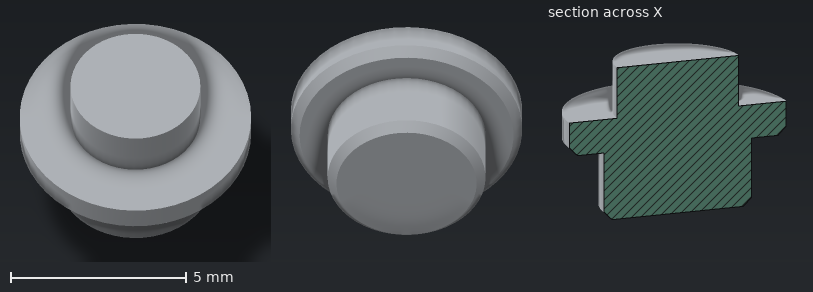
import cadquery as cq

flange_diameter = 6.6
plug_diameter = 4.5
boss_diameter = 3.7

plug_height = 2.0
flange_height = 1.0
boss_height = 1.5

rim_chamfer = 0.25


def chamfered_disc(diameter, height, base_z):
    """Disc standing on base_z with its lower rim chamfered."""
    disc = cq.Workplane("XY").workplane(offset=base_z).circle(diameter / 2).extrude(height)
    return disc.faces("<Z").edges().chamfer(rim_chamfer)


flange_top = plug_height + flange_height

plug = chamfered_disc(plug_diameter, plug_height, 0)
flange = chamfered_disc(flange_diameter, flange_height, plug_height)
boss = cq.Workplane("XY").workplane(offset=flange_top).circle(boss_diameter / 2).extrude(boss_height)

result = plug.union(flange).union(boss)